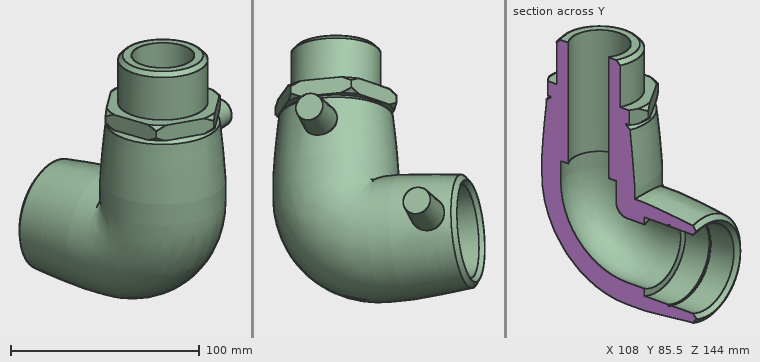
import cadquery as cq
import math

body_radius = 67.0 / 2
bend_radius = 26.5
taper_start = 38.6
arm_length = 108 - body_radius
tip_chamfer_length = 2.5
tip_chamfer_start = arm_length - tip_chamfer_length
tip_radius = 30.4
rim_radius = 27.4
taper_bulge = 0.3

passage_radius = 21.0
socket_radius = 50.0 / 2
lead_in_depth = 2.6
groove_depth_from_rim = 18.6
groove_width = 1.0
groove_radial_depth = 0.7

top_height = 144 - body_radius
hex_height = 9.0
hex_corner_diameter = 2 * body_radius
hex_chamfer = 2.5
stub_radius = 47.8 / 2
stub_chamfer = 2.5
adapter_bore_radius = 33.4 / 2

terminal_position = 59.3
terminal_end = 85.5 - body_radius
terminal_root = 27.4
terminal_root_radius = 9.5
terminal_end_radius = 7.5


def revolve_about_z(profile):
    return profile.close().revolve(360, (0, 0, 0), (0, 1, 0))


def lay_along_minus_x(shape):
    """Turn a shape on the +Z axis so that it points along -X."""
    return shape.rotate((0, 0, 0), (0, 1, 0), -90)


def make_arm():
    """Straight collar, bowed taper and bevelled rim on the +Z axis."""
    middle_radius = (body_radius + tip_radius) / 2 + taper_bulge
    middle_height = (taper_start + tip_chamfer_start) / 2
    return revolve_about_z(
        cq.Workplane("XZ")
        .moveTo(0, bend_radius)
        .lineTo(body_radius, bend_radius)
        .lineTo(body_radius, taper_start)
        .threePointArc((middle_radius, middle_height), (tip_radius, tip_chamfer_start))
        .lineTo(rim_radius, arm_length)
        .lineTo(0, arm_length)
    )


def make_body_bend():
    """Quarter bend of the body; its section is wider than the pivot distance, so it is cut at the pivot."""
    pivot_half_width = math.sqrt(body_radius**2 - bend_radius**2)
    bend = (
        cq.Workplane("XY")
        .workplane(offset=bend_radius)
        .moveTo(-bend_radius, -pivot_half_width)
        .threePointArc((body_radius, 0), (-bend_radius, pivot_half_width))
        .close()
        .revolve(90, (-bend_radius, 0, 0), (-bend_radius, 1, 0))
    )
    return cq.Workplane(bend.val().toNURBS())


def make_passage_bend():
    return (
        cq.Workplane("XY")
        .workplane(offset=bend_radius)
        .circle(passage_radius)
        .revolve(90, (-bend_radius, 0, 0), (-bend_radius, 1, 0))
    )


def make_adapter():
    """Hexagon with bevelled corners and a bevelled round stub above it."""
    hexagon = (
        cq.Workplane("XY").workplane(offset=arm_length).polygon(6, hex_corner_diameter).extrude(hex_height)
    )
    corner_bevel = (
        cq.Workplane("XY")
        .workplane(offset=arm_length)
        .circle(hex_corner_diameter / 2)
        .extrude(hex_height)
        .edges()
        .chamfer(hex_chamfer)
    )
    stub = (
        cq.Workplane("XY")
        .workplane(offset=arm_length)
        .circle(stub_radius)
        .extrude(top_height - arm_length)
        .faces(">Z")
        .chamfer(stub_chamfer)
    )
    return hexagon.intersect(corner_bevel).union(stub)


def make_terminal(x, z):
    return (
        cq.Workplane("XY")
        .moveTo(0, terminal_root)
        .lineTo(terminal_root_radius, terminal_root)
        .lineTo(terminal_end_radius, terminal_end)
        .lineTo(0, terminal_end)
        .close()
        .revolve(360, (0, 0, 0), (0, 1, 0))
        .translate((x, 0, z))
    )


def make_socket():
    """Socket bore with a conical lead-in and a narrow ring groove, on the +Z axis."""
    groove_outer = arm_length - groove_depth_from_rim
    groove_inner = groove_outer - groove_width
    groove_radius = socket_radius + groove_radial_depth
    return revolve_about_z(
        cq.Workplane("XZ")
        .moveTo(0, taper_start)
        .lineTo(socket_radius, taper_start)
        .lineTo(socket_radius, groove_inner)
        .lineTo(groove_radius, groove_inner)
        .lineTo(groove_radius, groove_outer)
        .lineTo(socket_radius, groove_outer)
        .lineTo(socket_radius, arm_length - lead_in_depth)
        .lineTo(rim_radius, arm_length)
        .lineTo(0, arm_length)
    )


def make_passage():
    """Through passage: quarter bend, a straight run in each arm, socket and adapter bore."""
    straight = (
        cq.Workplane("XY")
        .workplane(offset=bend_radius)
        .circle(passage_radius)
        .extrude(taper_start - bend_radius)
    )
    adapter_bore = (
        cq.Workplane("XY")
        .workplane(offset=taper_start)
        .circle(adapter_bore_radius)
        .extrude(top_height - taper_start)
    )
    return (
        make_passage_bend()
        .union(straight)
        .union(lay_along_minus_x(straight))
        .union(adapter_bore)
        .union(lay_along_minus_x(make_socket()))
    )


arm = make_arm()
body = make_body_bend().union(arm).union(lay_along_minus_x(arm)).union(make_adapter())
for x, z in ((0, terminal_position), (-terminal_position, 0)):
    body = body.union(make_terminal(x, z))

result = body.cut(make_passage())